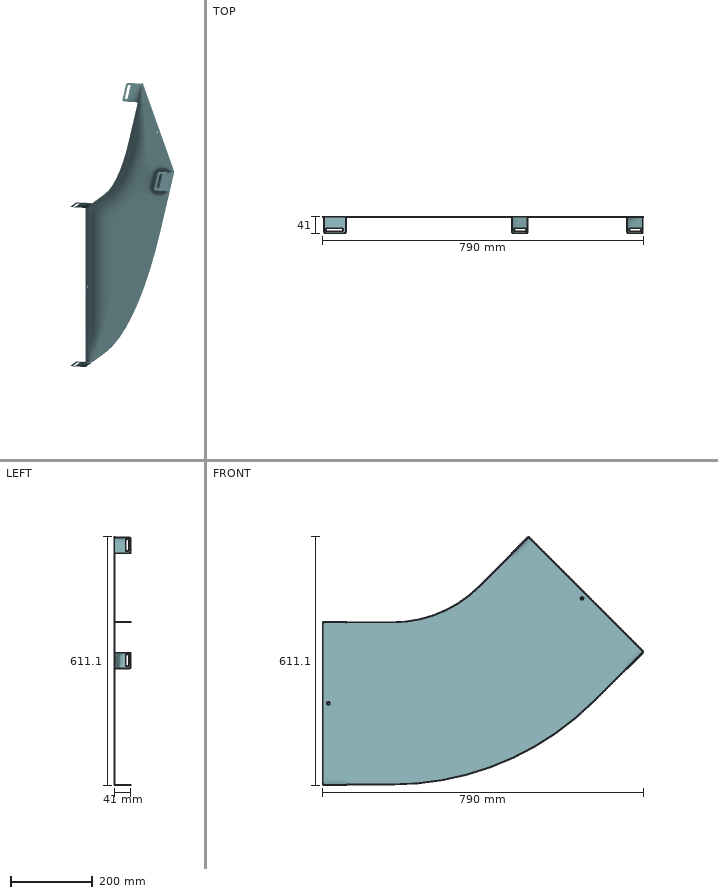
import cadquery as cq
import math

overall_length = 790.0
cover_width = 400.0
inner_radius = 300.0
bend_angle = 45.0
sheet = 1.0
bend_inside_radius = 1.0
overall_depth = 41.0

tab_length = 54.5
tab_end_gap = 3.0
tab_corner_radius = 5.0
slot_length = 43.0
slot_width = 7.0
slot_edge_distance = 9.0
slot_end_distance = 29.0

hole_diameter = 6.0
hole_end_distance = 14.0

outer_radius = inner_radius + cover_width
bend_sin = math.sin(math.radians(bend_angle))
bend_cos = math.cos(math.radians(bend_angle))
straight_length = (overall_length - outer_radius * bend_sin) / (1 + bend_cos)
bend_outside_radius = bend_inside_radius + sheet

bend_centre_x = straight_length
bend_centre_z = outer_radius


def bend_point(radius, angle, along=0.0):
    """Point at a bend angle, moved on along the tangent direction."""
    a = math.radians(angle)
    x = bend_centre_x + radius * math.sin(a) + along * math.cos(a)
    z = bend_centre_z - radius * math.cos(a) + along * math.sin(a)
    return (x, z)


def make_cover():
    """Flat curved sheet from Y = -sheet to Y = 0."""
    half = bend_angle / 2
    return (
        cq.Workplane("XZ")
        .moveTo(*bend_point(outer_radius, 0, -straight_length))
        .lineTo(*bend_point(outer_radius, 0))
        .threePointArc(bend_point(outer_radius, half), bend_point(outer_radius, bend_angle))
        .lineTo(*bend_point(outer_radius, bend_angle, straight_length))
        .lineTo(*bend_point(inner_radius, bend_angle, straight_length))
        .lineTo(*bend_point(inner_radius, bend_angle))
        .threePointArc(bend_point(inner_radius, half), bend_point(inner_radius, 0))
        .lineTo(*bend_point(inner_radius, 0, -straight_length))
        .close()
        .extrude(sheet)
    )


def make_tab():
    """Slotted tab at the left end, bent down from the inner (upper) edge, its inside face on that edge."""
    bend_y = -bend_outside_radius
    bend_z = cover_width - bend_inside_radius
    diagonal = math.sqrt(0.5)
    outside_middle = bend_outside_radius * diagonal
    inside_middle = bend_inside_radius * diagonal
    tab = (
        cq.Workplane("YZ", origin=(tab_end_gap, 0, 0))
        .moveTo(0, bend_z)
        .threePointArc(
            (bend_y + outside_middle, bend_z + outside_middle),
            (bend_y, cover_width + sheet),
        )
        .lineTo(-overall_depth, cover_width + sheet)
        .lineTo(-overall_depth, cover_width)
        .lineTo(bend_y, cover_width)
        .threePointArc(
            (bend_y + inside_middle, bend_z + inside_middle),
            (-sheet, bend_z),
        )
        .close()
        .extrude(tab_length)
        .edges("|Z and <Y")
        .fillet(tab_corner_radius)
    )
    slot = (
        cq.Workplane("XY", origin=(0, 0, cover_width))
        .center(slot_end_distance, slot_edge_distance - overall_depth)
        .slot2D(slot_length, slot_width)
        .extrude(sheet)
    )
    return tab.cut(slot)


def make_bend_relief():
    """Cutter that takes the flat sheet back to the start of the tab's bend."""
    return (
        cq.Workplane("XY", origin=(tab_end_gap, -sheet, cover_width - bend_inside_radius))
        .box(tab_length, sheet, bend_inside_radius, centered=False)
    )


def make_hole():
    """Cutter for the hole on the centre line at the left end."""
    return (
        cq.Workplane("XZ")
        .center(hole_end_distance, cover_width / 2)
        .circle(hole_diameter / 2)
        .extrude(sheet)
    )


def at_other_end(shape):
    """Copy a left end feature to the angled end by mirroring and turning it about the bend centre."""
    mirrored = shape.mirror("YZ", (bend_centre_x, 0, 0))
    return mirrored.rotate(
        (bend_centre_x, 0, bend_centre_z), (bend_centre_x, -1, bend_centre_z), bend_angle
    )


def at_outer_edge(shape):
    """Copy an inner edge feature at the left end to the outer edge by mirroring across the centre line."""
    return shape.mirror("XY", (0, 0, cover_width / 2))


def at_all_corners(shape):
    """Inner edge feature at the left end together with its copies at the other three corners."""
    left_pair = [shape, at_outer_edge(shape)]
    return left_pair + [at_other_end(copy) for copy in left_pair]


result = make_cover()

for relief in at_all_corners(make_bend_relief()):
    result = result.cut(relief)

for tab in at_all_corners(make_tab()):
    result = result.union(tab)

hole = make_hole()
result = result.cut(hole).cut(at_other_end(hole))